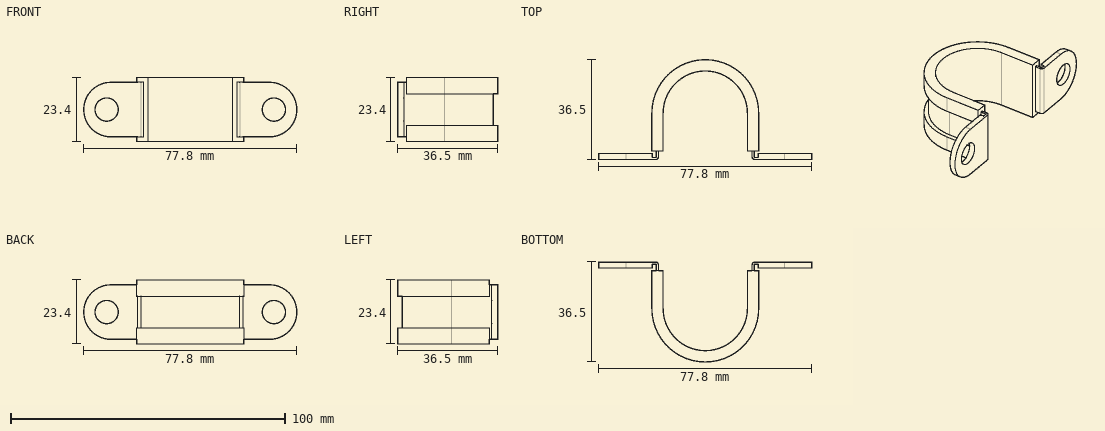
import cadquery as cq

overall_length = 77.8
leg_length = 13.85
leg_clearance = 3.1

cushion_outer_radius = 19.5
cushion_inner_radius = 15.3
cushion_width = 23.4
groove_width = 11.4

strap_outer_radius = 17.9
strap_thickness = 0.85
strap_width = 20.0
bend_radius = 1.0

tab_thickness = 2.25
pad_inner_x = 19.3
hole_diameter = 8.4
hole_x = 30.5

cushion_end_y = -leg_length
mount_face_y = cushion_end_y - leg_clearance
tab_end_radius = strap_width / 2
tab_tip_x = overall_length / 2


def arch(outer_radius, inner_radius, end_y, width):
    """U-shaped band, centred on Z = 0, with legs ending at end_y."""
    return (
        cq.Workplane("XY")
        .moveTo(-outer_radius, end_y)
        .lineTo(-outer_radius, 0)
        .threePointArc((0, outer_radius), (outer_radius, 0))
        .lineTo(outer_radius, end_y)
        .lineTo(inner_radius, end_y)
        .lineTo(inner_radius, 0)
        .threePointArc((0, inner_radius), (-inner_radius, 0))
        .lineTo(-inner_radius, end_y)
        .close()
        .extrude(width / 2, both=True)
    )


def right_tab():
    """Bent strap end with a thick, round-ended mounting pad and a bolt hole."""
    bend_x = strap_outer_radius - strap_thickness
    sheet_top_y = mount_face_y + strap_thickness
    pad_top_y = mount_face_y + tab_thickness
    tab = (
        cq.Workplane("XY")
        .moveTo(bend_x, cushion_end_y)
        .lineTo(strap_outer_radius, cushion_end_y)
        .lineTo(strap_outer_radius, sheet_top_y)
        .lineTo(pad_inner_x, sheet_top_y)
        .lineTo(pad_inner_x, pad_top_y)
        .lineTo(tab_tip_x, pad_top_y)
        .lineTo(tab_tip_x, mount_face_y)
        .lineTo(bend_x + bend_radius, mount_face_y)
        .radiusArc((bend_x, mount_face_y + bend_radius), bend_radius)
        .close()
        .extrude(strap_width / 2, both=True)
    )
    end_center_x = tab_tip_x - tab_end_radius
    rounded_outline = (
        cq.Workplane("XZ", origin=(0, cushion_end_y, 0))
        .moveTo(0, -tab_end_radius)
        .lineTo(end_center_x, -tab_end_radius)
        .threePointArc((tab_tip_x, 0), (end_center_x, tab_end_radius))
        .lineTo(0, tab_end_radius)
        .close()
        .extrude(leg_clearance)
    )
    hole = (
        cq.Workplane("XZ", origin=(0, pad_top_y, 0))
        .center(hole_x, 0)
        .circle(hole_diameter / 2)
        .extrude(tab_thickness)
    )
    return tab.intersect(rounded_outline).cut(hole)


cushion = arch(cushion_outer_radius, cushion_inner_radius, cushion_end_y, cushion_width)
groove = arch(cushion_outer_radius, strap_outer_radius, cushion_end_y, groove_width)
tab = right_tab()
result = cushion.cut(groove).union(tab).union(tab.mirror("YZ"))